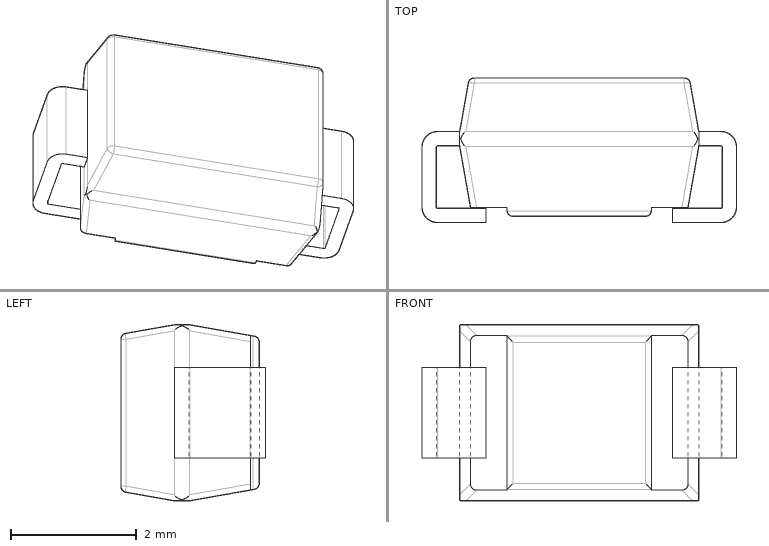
import cadquery as cq
import math

BODY_LENGTH = 3.8
BODY_HEIGHT = 2.8
BODY_FRONT_Y = 0.24
BODY_BACK_Y = 2.3
DRAFT_ANGLE = 10.0
EDGE_RADIUS = 0.1

BELT_WIDTH = 0.24
BELT_BACK_Y = 1.45
BELT_FRONT_Y = BELT_BACK_Y - BELT_WIDTH
BELT_MID_Y = (BELT_FRONT_Y + BELT_BACK_Y) / 2

PAD_LENGTH = 2.3
PAD_FRONT_Y = 0.1

LEAD_SPAN = 5.0
LEAD_FOOT = 1.02
LEAD_WIDTH = 1.44
LEAD_THICKNESS = 0.23
LEAD_OUTER_RADIUS = 0.25
LEAD_INNER_RADIUS = LEAD_OUTER_RADIUS - LEAD_THICKNESS
LEAD_EMBED = 0.3


def draft_inset(depth):
    """Distance a drafted side moves inward over the given depth."""
    return depth * math.tan(math.radians(DRAFT_ANGLE))


def block(length, height, start_y, end_y):
    """Box centred on X and Z between two Y planes."""
    depth = end_y - start_y
    return cq.Workplane("XY").box(length, depth, height).translate((0, start_y + depth / 2, 0))


def drafted_half(belt_edge_y, end_y):
    """Half of the body, from the middle of the belt to the end plane.

    The drafted sides start at the belt edge. The frustum is continued back to
    the middle of the belt and trimmed there to the straight belt sides.
    """
    growth = 2 * draft_inset(abs(belt_edge_y - BELT_MID_Y))
    depth = abs(end_y - BELT_MID_Y)
    plane = cq.Plane(
        origin=(0, BELT_MID_Y, 0),
        xDir=(1, 0, 0),
        normal=(0, math.copysign(1, end_y - BELT_MID_Y), 0),
    )
    frustum = (
        cq.Workplane(plane)
        .rect(BODY_LENGTH + growth, BODY_HEIGHT + growth)
        .extrude(depth, taper=DRAFT_ANGLE)
        .edges("not(#Y)")
        .fillet(EDGE_RADIUS)
    )
    return frustum.intersect(block(BODY_LENGTH, BODY_HEIGHT, PAD_FRONT_Y, BODY_BACK_Y))


def make_body():
    """Drafted block whose front is stepped back at both ends, leaving the raised pad."""
    front_half = drafted_half(BELT_FRONT_Y, PAD_FRONT_Y)
    step_length = (BODY_LENGTH - PAD_LENGTH) / 2
    step_center_x = (PAD_LENGTH + step_length) / 2
    step = block(step_length, BODY_HEIGHT, PAD_FRONT_Y, BODY_FRONT_Y)
    for side in (-1, 1):
        front_half = front_half.cut(step.translate((side * step_center_x, 0, 0)))
    front_half = front_half.faces("<Y").edges().fillet(EDGE_RADIUS)
    back_half = drafted_half(BELT_BACK_Y, BODY_BACK_Y).faces(">Y").edges().fillet(EDGE_RADIUS)
    return front_half.union(back_half)


def make_left_lead():
    """C-shaped strip: out through the belt, forward, and back in under the front face."""
    outer_x = -LEAD_SPAN / 2
    inner_x = outer_x + LEAD_THICKNESS
    foot_x = outer_x + LEAD_FOOT
    root_x = -BODY_LENGTH / 2 + LEAD_EMBED
    strip = (
        cq.Workplane("XY")
        .polyline([
            (foot_x, 0),
            (outer_x, 0),
            (outer_x, BELT_BACK_Y),
            (root_x, BELT_BACK_Y),
            (root_x, BELT_BACK_Y - LEAD_THICKNESS),
            (inner_x, BELT_BACK_Y - LEAD_THICKNESS),
            (inner_x, LEAD_THICKNESS),
            (foot_x, LEAD_THICKNESS),
        ])
        .close()
        .extrude(LEAD_WIDTH / 2, both=True)
    )
    strip = strip.faces("<X").edges("|Z").fillet(LEAD_OUTER_RADIUS)
    inner_bends = cq.selectors.BoxSelector(
        (inner_x - LEAD_INNER_RADIUS, 0, -LEAD_WIDTH),
        (inner_x + LEAD_INNER_RADIUS, BELT_BACK_Y, LEAD_WIDTH),
    )
    return strip.edges("|Z").edges(inner_bends).fillet(LEAD_INNER_RADIUS)


left_lead = make_left_lead()
right_lead = left_lead.mirror("YZ")
result = make_body().union(left_lead).union(right_lead)